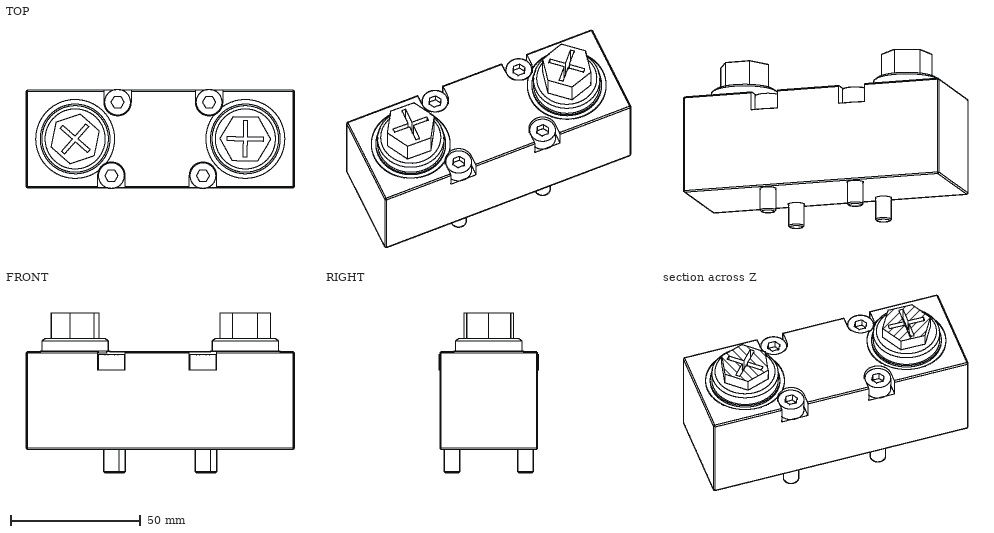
import cadquery as cq
import math

BLOCK_LENGTH = 104.0
BLOCK_WIDTH = 38.0
BLOCK_HEIGHT = 38.0
BLOCK_CHAMFER = 0.5

PLUG_X = 33.0
SPOTFACE_DIAMETER = 30.6
SPOTFACE_DEPTH = 0.5
FLANGE_DIAMETER = 27.0
FLANGE_RISE = 0.3
COLLAR_DIAMETER = 25.8
COLLAR_HEIGHT = 4.8
COLLAR_CHAMFER_WIDTH = 1.2
COLLAR_CHAMFER_HEIGHT = 0.9
HEX_ACROSS_CORNERS = 19.7
HEX_HEIGHT = 9.9
CROSS_LENGTH = 14.1
CROSS_WIDTH = 1.6
RIGHT_PLUG_TURN = -1.0
LEFT_PLUG_TURN = 138.5

SCREW_SPACING_X = 35.5
SCREW_SPACING_Y = 28.5
ROW_OFFSET = 2.4
HEAD_DIAMETER = 10.0
HEAD_HEIGHT = 6.0
SHANK_DIAMETER = 6.0
SHANK_PROTRUSION = 9.0
SHANK_CHAMFER = 0.5
SOCKET_ACROSS_CORNERS = 5.1
SOCKET_DEPTH = 3.0
SCREW_POCKET_WIDTH = 10.6
SCREW_POCKET_DEPTH = 7.2
SCREW_HOLE_DIAMETER = 6.3

SPOTFACE_FLOOR = BLOCK_HEIGHT - SPOTFACE_DEPTH
FLANGE_TOP = BLOCK_HEIGHT + FLANGE_RISE
COLLAR_TOP = FLANGE_TOP + COLLAR_HEIGHT
HEX_TOP = COLLAR_TOP + HEX_HEIGHT
SCREW_SEAT = BLOCK_HEIGHT - SCREW_POCKET_DEPTH

PLUG_PLACES = [
    (-PLUG_X, LEFT_PLUG_TURN),
    (PLUG_X, RIGHT_PLUG_TURN),
]
SCREW_PLACES = [
    ((column * SCREW_SPACING_X + row * ROW_OFFSET) / 2, row * SCREW_SPACING_Y / 2)
    for row in (-1, 1)
    for column in (-1, 1)
]


def upright_cylinder(diameter, bottom, top):
    """Cylinder on the Z axis between two heights."""
    return cq.Workplane("XY").workplane(offset=bottom).circle(diameter / 2).extrude(top - bottom)


def screw_recess(x, y):
    """Round-ended pocket, open at the nearest long side, with a clearance hole below it."""
    outward = math.copysign(1, y)
    pocket = upright_cylinder(SCREW_POCKET_WIDTH, SCREW_SEAT, BLOCK_HEIGHT)
    opening_length = BLOCK_WIDTH / 2
    opening = (
        cq.Workplane("XY")
        .workplane(offset=SCREW_SEAT)
        .center(0, outward * opening_length / 2)
        .rect(SCREW_POCKET_WIDTH, opening_length)
        .extrude(SCREW_POCKET_DEPTH)
    )
    hole = upright_cylinder(SCREW_HOLE_DIAMETER, 0, SCREW_SEAT)
    return pocket.union(opening).union(hole).translate((x, y, 0))


def make_block():
    """Chamfered box with a spotface for each plug and a recess for each screw."""
    block = (
        cq.Workplane("XY")
        .box(BLOCK_LENGTH, BLOCK_WIDTH, BLOCK_HEIGHT, centered=(True, True, False))
        .edges()
        .chamfer(BLOCK_CHAMFER)
    )
    for x, _ in PLUG_PLACES:
        spotface = upright_cylinder(SPOTFACE_DIAMETER, SPOTFACE_FLOOR, BLOCK_HEIGHT)
        block = block.cut(spotface.translate((x, 0, 0)))
    for x, y in SCREW_PLACES:
        block = block.cut(screw_recess(x, y))
    return block


def make_plug(x, turn):
    """Flange, chamfered collar and hexagon with a cross slot through its height, turned about its axis."""
    flange = upright_cylinder(FLANGE_DIAMETER, SPOTFACE_FLOOR, FLANGE_TOP)
    collar = (
        upright_cylinder(COLLAR_DIAMETER, FLANGE_TOP, COLLAR_TOP)
        .faces(">Z")
        .chamfer(COLLAR_CHAMFER_HEIGHT, COLLAR_CHAMFER_WIDTH)
    )
    hexagon = (
        cq.Workplane("XY")
        .workplane(offset=COLLAR_TOP)
        .polygon(6, HEX_ACROSS_CORNERS)
        .extrude(HEX_HEIGHT)
    )
    plug = flange.union(collar).union(hexagon)
    for length, width in [(CROSS_LENGTH, CROSS_WIDTH), (CROSS_WIDTH, CROSS_LENGTH)]:
        slot = cq.Workplane("XY").workplane(offset=HEX_TOP).rect(length, width).extrude(-HEX_HEIGHT)
        plug = plug.cut(slot)
    return plug.rotate((0, 0, 0), (0, 0, 1), turn).translate((x, 0, 0))


def make_screw(x, y):
    """Socket head cap screw seated in its pocket, with its shank out below the block."""
    head_top = SCREW_SEAT + HEAD_HEIGHT
    head = upright_cylinder(HEAD_DIAMETER, SCREW_SEAT, head_top)
    shank = (
        upright_cylinder(SHANK_DIAMETER, -SHANK_PROTRUSION, SCREW_SEAT)
        .faces("<Z")
        .chamfer(SHANK_CHAMFER)
    )
    socket = (
        cq.Workplane("XY")
        .workplane(offset=head_top)
        .polygon(6, SOCKET_ACROSS_CORNERS)
        .extrude(-SOCKET_DEPTH)
    )
    return head.union(shank).cut(socket).translate((x, y, 0))


block = make_block()
plugs = [make_plug(x, turn) for x, turn in PLUG_PLACES]
screws = [make_screw(x, y) for x, y in SCREW_PLACES]

bodies = [block, *plugs, *screws]
result = cq.Compound.makeCompound([body.val() for body in bodies])